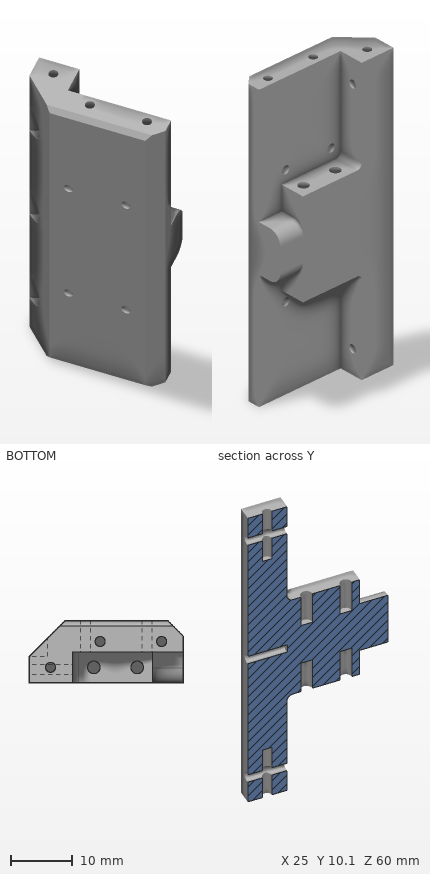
import cadquery as cq
import math

width = 25.0
thickness = 10.1
length = 60.0

wall_width = 7.0
step_depth = 5.05
left_bevel = 5.8
right_bevel = 2.5
end_chamfer = 0.85

block_length = 20.05
block_end_x = 20.0
corner_radius = 1.0
lug_drop = 5.05
lug_round = 2.4

screw_diameter = 1.6
block_hole_diameter = 2.05
blind_depth = 10.0
block_hole_depth = 6.0
mount_xs = (9.1, 19.15)
mount_z = 12.5
end_hole_positions = ((3.5, -2.5), (11.5, -6.7), (21.5, -6.7))
block_hole_xs = (10.5, 17.5)
side_hole_y = -2.15
side_hole_z = 25.0
seat_diameter = 6.0
seat_pitch = 20.0

slope_start_y = left_bevel - thickness


def cylinder(axis_origin, direction, diameter, depth):
    return cq.Solid.makeCylinder(diameter / 2, depth, cq.Vector(*axis_origin), cq.Vector(*direction))


def make_body():
    profile = [
        (0, 0),
        (wall_width, 0),
        (wall_width, -step_depth),
        (width, -step_depth),
        (width, right_bevel - thickness),
        (width - right_bevel, -thickness),
        (left_bevel, -thickness),
        (0, slope_start_y),
    ]
    body = cq.Workplane("XY").polyline(profile).close().extrude(length / 2, both=True)
    return body.faces("<Y").edges("|X").chamfer(end_chamfer)


def make_centre_block():
    half = block_length / 2
    blend_x = wall_width + corner_radius
    blend_z = half + corner_radius
    mid_x = blend_x - corner_radius * math.sqrt(0.5)
    mid_z = blend_z - corner_radius * math.sqrt(0.5)
    block = (
        cq.Workplane("XZ")
        .moveTo(wall_width, -blend_z)
        .threePointArc((mid_x, -mid_z), (blend_x, -half))
        .lineTo(block_end_x, -half)
        .lineTo(block_end_x, half)
        .lineTo(blend_x, half)
        .threePointArc((mid_x, mid_z), (wall_width, blend_z))
        .close()
        .extrude(step_depth)
    )
    lug = (
        cq.Workplane("XY")
        .box(width - wall_width, step_depth, block_length - 2 * lug_drop, centered=(False, False, True))
        .translate((wall_width, -step_depth, 0))
        .faces(">Y").edges("|X").fillet(lug_round)
    )
    return block.union(lug)


result = make_body().union(make_centre_block())

for x in mount_xs:
    for z in (-mount_z, mount_z):
        result = result.cut(cylinder((x, -thickness, z), (0, 1, 0), screw_diameter, thickness))

for side in (-1, 1):
    for x in block_hole_xs:
        start = (x, -step_depth / 2, side * block_length / 2)
        result = result.cut(cylinder(start, (0, 0, -side), block_hole_diameter, block_hole_depth))
    for x, y in end_hole_positions:
        result = result.cut(cylinder((x, y, side * length / 2), (0, 0, -side), screw_diameter, blind_depth))

for z in (-side_hole_z, 0, side_hole_z):
    result = result.cut(cylinder((0, side_hole_y, z), (1, 0, 0), screw_diameter, wall_width))

for z in (-seat_pitch, 0, seat_pitch):
    seat_start = (0, -thickness, z)
    result = result.cut(cylinder(seat_start, (0, 1, 0), seat_diameter, left_bevel))